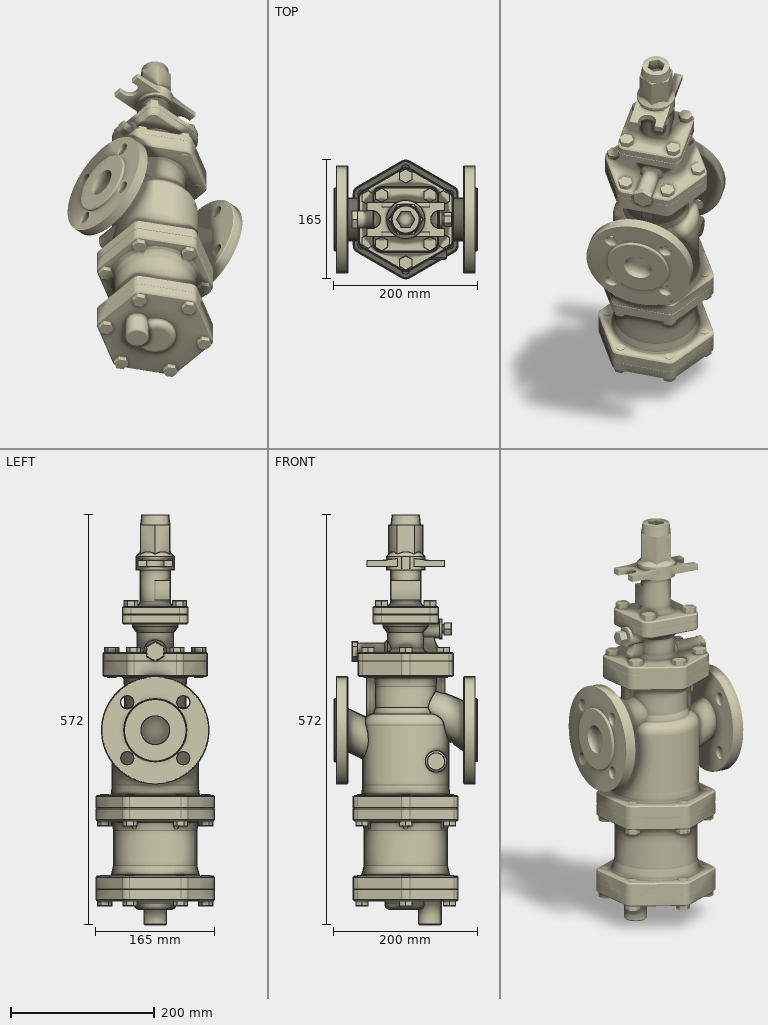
import cadquery as cq
import math


face_to_face = 200.0
flange_dia = 150.0
flange_thickness = 16.0
raised_face_dia = 88.0
raised_face_height = 3.5
bore_dia = 40.0
bore_depth = 37.0
bolt_hole_dia = 18.5
bolt_circle_dia = 110.5
port_z = 271.5
flange_back_x = face_to_face / 2 - raised_face_height - flange_thickness

hex_corner_radius = 11.5
edge_chamfer = 2.0
rim_chamfer = 1.0
body_hex = (73.0, 73.0)
cap_hex = (66.5, 64.5)
base_bottom, base_split, base_top = 34.0, 50.0, 68.0
middle_bottom, middle_split, middle_top = 145.5, 163.0, 181.0
cap_bottom, cap_split, cap_top = 346.5, 368.5, 380.5
gasket_gap = 2.0
joint_gap = 0.3
split_depth = 0.5

body_bolt_radius = 70.5
cap_bolt_radius = 60.5
bolt_head_flats = 17.0
bolt_head_height = 7.0
bolt_end_dia = 12.0
bolt_end_height = 1.0
spotface_dia = 24.0
spotface_depth = 14.0

body_radius = 60.0
separator_dia = 116.0
foot_radius = 61.0
neck_radius = 43.0
neck_flare_radius = 44.0

bonnet_radius = 26.0
square_half = 46.0
square_corner = 12.0
square_bottom, square_split, square_top = 420.0, 433.0, 444.5
bonnet_bolt_offset = 34.0
bonnet_head_height = 8.0

stem_radius = 21.0
collar_dia = 53.0
cap_nut_flats = 41.0
nut_bottom, nut_top = 517.0, 557.5
overall_height = 572.0
nut_end_base_radius, nut_end_radius = 20.5, 19.0
socket_flats = 22.0
socket_depth = 17.0

handle_length = 108.5
handle_width = 48.0
handle_bottom, handle_top = 500.0, 508.5
notch_width = 24.5
notch_bottom_x = 35.0


def revolved(points):
    """Solid of revolution about Z from the (radius, z) points of its outer side."""
    outline = [(0, points[0][1])] + points + [(0, points[-1][1])]
    return cq.Workplane("XZ").polyline(outline).close().revolve(360, (0, 0), (0, 1))


def foot_fillet(radius, z, size):
    """Concave ring that blends a vertical cylinder into the flat face below it."""
    return (
        cq.Workplane("XZ")
        .moveTo(0, z)
        .lineTo(radius + size, z)
        .radiusArc((radius, z + size), size)
        .lineTo(0, z + size)
        .close()
        .revolve(360, (0, 0), (0, 1))
    )


def cylinder(start, direction, diameter, length):
    return cq.Workplane(cq.Plane(start, normal=direction)).circle(diameter / 2).extrude(length)


def hex_prism(plane, flats, height):
    """Hexagonal prism with two corners on the local X axis of its plane."""
    return cq.Workplane(plane).polygon(6, flats / math.cos(math.pi / 6)).extrude(height)


def hex_ring(radius):
    """Six places at one radius, two of them on the Y axis."""
    angles = [math.radians(30 + 60 * i) for i in range(6)]
    return [(radius * math.cos(a), radius * math.sin(a)) for a in angles]


def split_flange(outline, z_bottom, z_split, z_top, edge_radius, gap):
    """Bolted flange pair with chamfered rims and a shallow groove along its joint."""
    def slab(z, height):
        return cq.Workplane(origin=(0, 0, z)).polyline(outline).close().extrude(height)

    flange = slab(z_bottom, z_top - z_bottom).edges("|Z").fillet(edge_radius)
    core = flange.faces("<Z").wires().toPending().offset2D(-split_depth).extrude(z_top - z_bottom, combine=False)
    flange = flange.faces("<Z or >Z").chamfer(edge_chamfer)
    groove = slab(z_split - gap / 2, gap).cut(core)
    return flange.cut(groove)


def hex_outline(side_x, side_slanted):
    """Hexagon with sides at X = +-side_x and four slanted sides at their own distance."""
    tip_y = side_slanted / math.cos(math.pi / 6)
    side_y = tip_y - side_x * math.tan(math.pi / 6)
    return [(0, tip_y), (-side_x, side_y), (-side_x, -side_y),
            (0, -tip_y), (side_x, -side_y), (side_x, side_y)]


def bolt_heads(points, z, height):
    """Hexagon bolt heads with two corners along Y."""
    head = hex_prism("XY", bolt_head_flats, height).rotate((0, 0, 0), (0, 0, 1), 90)
    heads = cq.Workplane()
    for x, y in points:
        heads = heads.add(head.translate((x, y, z)))
    return heads.combine()


def discs(points, z, diameter, height):
    return cq.Workplane(origin=(0, 0, z)).pushPoints(points).circle(diameter / 2).extrude(height)


flare_height = 2.5
flare_radius = body_radius + 3.0
separator_cone_bottom, separator_cone_top = 83.0, 131.5
body_cone_top = 195.0
separator = revolved([
    (flare_radius, base_top), (foot_radius, base_top + flare_height),
    (separator_dia / 2, separator_cone_bottom), (separator_dia / 2, separator_cone_top),
    (body_radius, middle_bottom - flare_height), (flare_radius, middle_bottom),
])
shoulder_radius = 16.0
shoulder_z = 279.0
shoulder_top_radius, shoulder_top_z = 46.5, 294.5
neck_foot_z = 303.0
neck_flare_z = 333.0
body = (
    cq.Workplane("XZ")
    .moveTo(0, middle_top)
    .lineTo(flare_radius, middle_top)
    .lineTo(foot_radius, middle_top + flare_height)
    .lineTo(body_radius, body_cone_top)
    .lineTo(body_radius, shoulder_z)
    .radiusArc((shoulder_top_radius, shoulder_top_z), -shoulder_radius)
    .lineTo(neck_radius, neck_foot_z)
    .lineTo(neck_radius, neck_flare_z)
    .lineTo(neck_flare_radius, cap_bottom - flare_height)
    .lineTo(neck_flare_radius + flare_height, cap_bottom)
    .lineTo(0, cap_bottom)
    .close()
    .revolve(360, (0, 0), (0, 1))
)
result = separator.union(body)

rib_reach = 55.0
rib_width = 16.0
rib_corner_radius = 5.0
rib_bottom = 274.5
ribs = (
    cq.Workplane(origin=(0, 0, rib_bottom))
    .rect(2 * rib_reach, rib_width)
    .extrude(cap_bottom - rib_bottom + edge_chamfer)
    .edges("|Z")
    .fillet(rib_corner_radius)
)
result = result.union(ribs)

body_bolts = hex_ring(body_bolt_radius)
cap_bolts = hex_ring(cap_bolt_radius)
body_outline = hex_outline(*body_hex)
result = result.cut(discs(body_bolts, middle_bottom - spotface_depth, spotface_dia, spotface_depth))
for bottom, split, top, gap in (
    (base_bottom, base_split, base_top, joint_gap),
    (middle_bottom, middle_split, middle_top, gasket_gap),
):
    result = result.union(split_flange(body_outline, bottom, split, top, hex_corner_radius, gap))
    result = result.union(bolt_heads(body_bolts, bottom - bolt_head_height, bolt_head_height))
    result = result.union(discs(body_bolts, top, bolt_end_dia, bolt_end_height))
cap_outline = hex_outline(*cap_hex)
result = result.union(split_flange(cap_outline, cap_bottom, cap_split, cap_top, hex_corner_radius, joint_gap))
result = result.union(bolt_heads(cap_bolts, cap_top, bolt_head_height))
result = result.union(discs(cap_bolts, cap_bottom - bolt_end_height, bolt_end_dia, bolt_end_height))

neck_width = 59.5
inlet_height = 60.5
outlet_height = 70.0
outlet_z = 277.5
inlet_end = (-34.5, 250.0)
outlet_bend = (60.0, 288.5)
outlet_end = (31.5, 298.5)
inlet_path = cq.Workplane("XZ").moveTo(-flange_back_x, port_z).lineTo(*inlet_end)
inlet = (
    cq.Workplane("YZ", origin=(-flange_back_x, 0, port_z))
    .ellipse(neck_width / 2, inlet_height / 2)
    .sweep(inlet_path)
)
outlet_path = cq.Workplane("XZ").moveTo(flange_back_x, outlet_z).threePointArc(outlet_bend, outlet_end)
outlet = (
    cq.Workplane("YZ", origin=(flange_back_x, 0, outlet_z))
    .ellipse(neck_width / 2, outlet_height / 2)
    .sweep(outlet_path)
)
result = result.union(inlet).union(outlet)

hole_offset = bolt_circle_dia / 2 * math.sin(math.pi / 4)
for side in (-1, 1):
    outer, inner = (">X", "<X") if side > 0 else ("<X", ">X")
    flange = cylinder((side * flange_back_x, 0, port_z), (side, 0, 0), flange_dia, flange_thickness)
    flange = flange.faces(inner).chamfer(rim_chamfer)
    face_x = side * (flange_back_x + flange_thickness)
    raised_face = cylinder((face_x, 0, port_z), (side, 0, 0), raised_face_dia, raised_face_height)
    raised_face = raised_face.faces(outer).chamfer(rim_chamfer)
    result = result.union(flange).union(raised_face)
    holes = (
        cq.Workplane("YZ", origin=(side * flange_back_x, 0, port_z))
        .rect(2 * hole_offset, 2 * hole_offset, forConstruction=True)
        .vertices()
        .circle(bolt_hole_dia / 2)
        .extrude(side * flange_thickness)
    )
    bore = cylinder((side * face_to_face / 2, 0, port_z), (-side, 0, 0), bore_dia, bore_depth)
    result = result.cut(holes).cut(bore)

plug_x, plug_z = 42.5, 228.0
plug_dia = 30.0
plug_face_y = -56.0
plug_chamfer = 3.0
plug = cylinder((plug_x, plug_face_y, plug_z), (0, 1, 0), plug_dia, -plug_face_y)
plug = plug.faces("<Y").chamfer(plug_chamfer)
result = result.union(plug)

drain_x = 34.0
drain_dia = 32.0
drain_boss_dia = 58.5
boss_height = 12.0
boss_fillet = 8.0
drain_boss = discs([(0, 0)], base_bottom - boss_height, drain_boss_dia, boss_height)
drain_boss = drain_boss.faces("<Z").edges().fillet(boss_fillet)
drain_pipe = cylinder((drain_x, 0, 0), (0, 0, 1), drain_dia, base_bottom)
drain_pipe = drain_pipe.faces("<Z").chamfer(edge_chamfer)
result = result.union(drain_boss).union(drain_pipe)

bonnet_foot_size = 6.0
bonnet_flare_radius = 32.0
bonnet_flare_bottom, bonnet_flare_top = 408.0, 416.5
bonnet = revolved([
    (bonnet_radius, cap_top), (bonnet_radius, bonnet_flare_bottom),
    (bonnet_flare_radius, bonnet_flare_top), (bonnet_flare_radius, square_bottom),
])
result = result.union(bonnet).union(foot_fillet(bonnet_radius, cap_top, bonnet_foot_size))

square = [(square_half * sx, square_half * sy) for sx, sy in ((1, 1), (-1, 1), (-1, -1), (1, -1))]
bonnet_bolts = [(bonnet_bolt_offset * sx, bonnet_bolt_offset * sy) for sx in (-1, 1) for sy in (-1, 1)]
result = result.union(split_flange(square, square_bottom, square_split, square_top, square_corner, gasket_gap))
result = result.union(bolt_heads(bonnet_bolts, square_top, bonnet_head_height))

left_plug_z = 381.5
left_plug_x = -75.0
left_plug_dia = 24.0
left_head_width = 7.5
left_root_dia = 32.0
left_root_x = 30.0
left_head_plane = cq.Plane((left_plug_x, 0, left_plug_z), (0, 0, 1), (1, 0, 0))
left_head = hex_prism(left_head_plane, left_plug_dia, left_head_width)
left_pipe = cylinder((left_plug_x, 0, left_plug_z), (1, 0, 0), left_plug_dia, -left_plug_x)
left_root = cylinder((-left_root_x, 0, left_plug_z), (1, 0, 0), left_root_dia, left_root_x)
left_root = left_root.faces("<X").chamfer((left_root_dia - left_plug_dia) / 2)
result = result.union(left_head).union(left_pipe).union(left_root)

right_port_z = 410.0
right_port_dia = 20.0
washer_x, washer_width = 47.0, 4.0
washer_dia = 28.0
right_bolt_z = 413.0
right_shank_width = 2.5
right_head_width = 10.5
right_port = cylinder((0, 0, right_port_z), (1, 0, 0), right_port_dia, washer_x)
washer = cylinder((washer_x, 0, right_bolt_z), (1, 0, 0), washer_dia, washer_width)
shank_x = washer_x + washer_width
shank = cylinder((shank_x, 0, right_bolt_z), (1, 0, 0), bolt_end_dia, right_shank_width)
head_x = shank_x + right_shank_width
right_head_plane = cq.Plane((head_x, 0, right_bolt_z), (0, 1, 0), (1, 0, 0))
right_head = hex_prism(right_head_plane, bolt_head_flats, right_head_width)
web_width = 11.5
web_foot_height = 7.0
web_curve_radius = 23.0
web_top_x, web_foot_x = 41.0, 46.0
web = (
    cq.Workplane("XZ", origin=(0, web_width / 2, 0))
    .moveTo(0, cap_top)
    .lineTo(web_foot_x, cap_top)
    .lineTo(web_foot_x, cap_top + web_foot_height)
    .radiusArc((web_top_x, right_port_z), web_curve_radius)
    .lineTo(0, right_port_z)
    .close()
    .extrude(web_width)
)
for piece in (right_port, washer, shank, right_head, web):
    result = result.union(piece)

stem_foot_size = 7.0
block_bottom, block_top = 453.0, 480.5
collar_bottom, collar_top = 495.5, 514.0
collar_cone_top, collar_cone_radius = 520.5, 20.5
stem = revolved([
    (stem_radius, square_top), (stem_radius, collar_bottom), (collar_dia / 2, collar_bottom),
    (collar_dia / 2, collar_top), (collar_cone_radius, collar_cone_top),
])
block = (
    cq.Workplane(origin=(0, -stem_radius / 2, block_bottom))
    .rect(2 * stem_radius, stem_radius)
    .extrude(block_top - block_bottom)
)
result = result.union(stem).union(foot_fillet(stem_radius, square_top, stem_foot_size)).union(block)

handle = (
    cq.Workplane(origin=(0, 0, handle_bottom))
    .rect(handle_length, handle_width)
    .extrude(handle_top - handle_bottom)
)
notch_radius = notch_width / 2
for side in (-1, 1):
    notch_centre = side * (notch_bottom_x + notch_radius)
    notch = (
        cq.Workplane(origin=(notch_centre, 0, handle_bottom))
        .circle(notch_radius)
        .extrude(handle_top - handle_bottom)
    )
    notch_mouth = (
        cq.Workplane(origin=(notch_centre + side * notch_radius, 0, handle_bottom))
        .rect(notch_width, notch_width)
        .extrude(handle_top - handle_bottom)
    )
    handle = handle.cut(notch).cut(notch_mouth)
handle_rib_half_length = 33.0
handle_rib_thickness = 6.5
handle_rib_top = 512.0
lug_half_width = 6.0
lug_bottom, lug_top = 497.0, 514.0
lug_length = 52.0
handle_rib_profile = [
    (-handle_rib_half_length, handle_top), (handle_rib_half_length, handle_top),
    (lug_half_width, handle_rib_top), (-lug_half_width, handle_rib_top),
]
for rib_start_y in (-handle_width / 2 + handle_rib_thickness, handle_width / 2):
    handle_rib = (
        cq.Workplane("XZ", origin=(0, rib_start_y, 0))
        .polyline(handle_rib_profile)
        .close()
        .extrude(handle_rib_thickness)
    )
    handle = handle.union(handle_rib)
lug = cq.Workplane(origin=(0, 0, lug_bottom)).rect(2 * lug_half_width, lug_length).extrude(lug_top - lug_bottom)
result = result.union(handle).union(lug)

nut = hex_prism(cq.Plane((0, 0, nut_bottom)), cap_nut_flats, nut_top - nut_bottom)
nut_end = revolved([(nut_end_base_radius, nut_top), (nut_end_radius, overall_height)])
socket = hex_prism(cq.Plane((0, 0, overall_height - socket_depth)), socket_flats, socket_depth)
result = result.union(nut).union(nut_end).cut(socket)